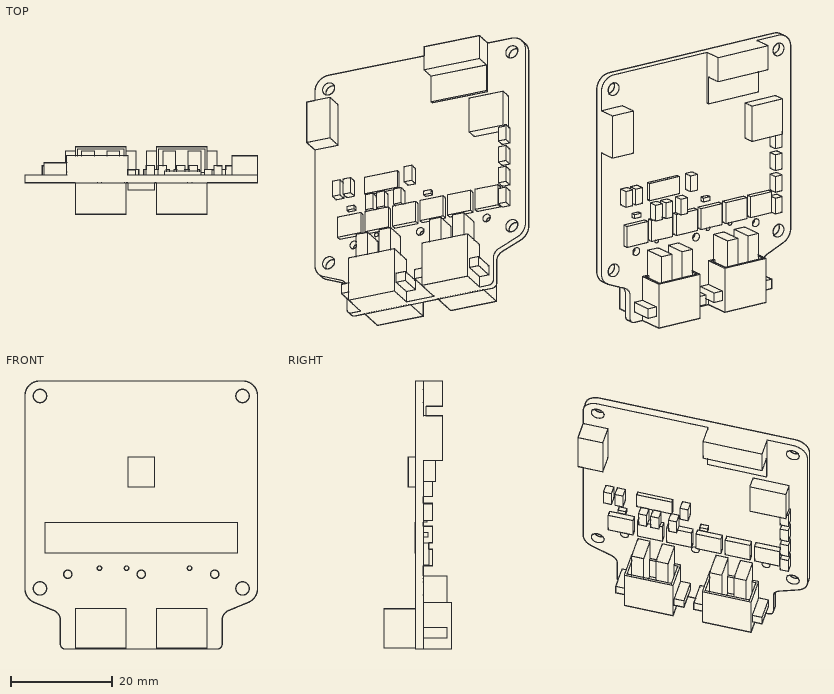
import cadquery as cq
import math


BOARD_WIDTH = 46.0
BOARD_HEIGHT = 53.0
BOARD_THICKNESS = 1.6
CORNER_RADIUS = 3.0
SHOULDER_ANGLE = math.radians(22.5)
TAB_WIDTH = 32.0
TAB_INNER_RADIUS = 2.0
TAB_CORNER_RADIUS = 1.0

MOUNT_HOLE_X = BOARD_WIDTH / 2 - CORNER_RADIUS
MOUNT_HOLE_DROPS = (CORNER_RADIUS, 41.0)
MOUNT_HOLE_DIAMETER = 2.6
PEG_HOLE_DIAMETER = 1.6
PEG_HOLE_XS = (-14.5, 0.0, 14.5)
PEG_HOLE_DROP = 38.2
VIA_DIAMETER = 0.85
VIA_XS = (-8.25, -2.9, 9.55)
VIA_DROP = 37.0

STRIP_WIDTH = 38.1
STRIP_LENGTH = 6.0
STRIP_DROP = 28.0
STRIP_HEIGHT = 0.02
FRONT_CHIP_WIDTH = 5.3
FRONT_CHIP_LENGTH = 6.0
FRONT_CHIP_DROP = 15.0
FRONT_CHIP_HEIGHT = 1.45
FRONT_BLOCK_LENGTH = 7.8
FRONT_BLOCK_DROP = 45.0
FRONT_BLOCK_HEIGHT = 6.2

CONNECTOR_XS = (-8.0, 8.0)
SHELL_WIDTH = 10.0
SHELL_HEIGHT = 5.55
SHELL_LENGTH = 9.25
SHELL_WALL = 0.45
SHELL_DROP = BOARD_HEIGHT - SHELL_LENGTH
FLANGE_WIDTH = 14.0
FLANGE_LENGTH = 2.0
FLANGE_DROP = 48.75
PRONG_WIDTH = 2.5
PRONG_OFFSET = 2.5
PRONG_HEIGHT = 4.7
PRONG_DROP = 38.5

TOP_SOCKET_X = -8.7
TOP_SOCKET_WIDTH = 12.1
TOP_SOCKET_LENGTH = 5.05
SOCKET_HEIGHT = 3.8
SOCKET_PLATE_LENGTH = 5.6
SOCKET_PLATE_HEIGHT = 0.55
SIDE_SOCKET_WIDTH = 5.1
SIDE_SOCKET_LENGTH = 8.85
SIDE_SOCKET_DROP = 6.9
MODULE_SIDE = 7.4
MODULE_LEFT = -19.25
MODULE_DROP = 12.5
MODULE_HEIGHT = 2.4
FLAT_CHIP_X = 8.2
FLAT_CHIP_WIDTH = 7.2
FLAT_CHIP_LENGTH = 3.6
FLAT_CHIP_DROP = 24.3
FLAT_CHIP_HEIGHT = 0.72

TALL_WIDTH = 1.65
TALL_LENGTH = 3.3
TALL_HEIGHT = 1.8
TALL_ROW_DROPS = (19.55, 24.15, 28.7, 33.25)
TALL_COLUMN_X = -18.75
UPPER_TALL_XS = (1.8, 15.15, 17.5)
UPPER_TALL_SHIFT = 0.15
LOWER_TALL_XS = (4.15, 7.8, 10.3)
LOW_COUNT = 6
LOW_PITCH = 6.0
LOW_WIDTH = 5.1
LOW_LENGTH = 4.4
LOW_DROP = TALL_ROW_DROPS[2] + TALL_LENGTH
LOW_HEIGHT = 1.08
TINY_WIDTH = 1.6
TINY_LENGTH = 0.8
TINY_HEIGHT = 0.9
TINY_XS = (-1.95, 14.8)
TINY_DROP = 30.0


def slab(x_center, width, drop, length, y_start, y_end):
    """Box spanning y_start..y_end whose upper end lies `drop` below the board top."""
    size_y = y_end - y_start
    box = cq.Workplane("XY").box(width, size_y, length)
    return box.translate((x_center, y_start + size_y / 2, BOARD_HEIGHT - drop - length / 2))


def back_part(x_center, width, drop, length, height):
    """Box standing on the component side; it reaches into the board to join it."""
    return slab(x_center, width, drop, length, BOARD_THICKNESS / 2, BOARD_THICKNESS + height)


def front_part(x_center, width, drop, length, height):
    """Box standing on the front side; it reaches into the board to join it."""
    return slab(x_center, width, drop, length, -height, BOARD_THICKNESS / 2)


def extrude_along_y(sketch):
    """Extrude an XZ sketch from the front face to the component side."""
    return sketch.extrude(-BOARD_THICKNESS)


def board_blank():
    """Rounded board with shoulders sloping in to a narrower tab at the bottom."""
    half_width = BOARD_WIDTH / 2
    half_tab = TAB_WIDTH / 2
    arc_z = BOARD_HEIGHT - MOUNT_HOLE_DROPS[1]
    top_z = BOARD_HEIGHT - CORNER_RADIUS

    def lower_arc_point(angle):
        x = MOUNT_HOLE_X + CORNER_RADIUS * math.sin(angle)
        z = arc_z - CORNER_RADIUS * math.cos(angle)
        return x, z

    slope_start = lower_arc_point(SHOULDER_ANGLE)
    arc_middle = lower_arc_point((SHOULDER_ANGLE + math.pi / 2) / 2)
    slope_end_z = slope_start[1] - (slope_start[0] - half_tab) * math.tan(SHOULDER_ANGLE)
    diagonal = CORNER_RADIUS * math.sqrt(0.5)

    half = (
        cq.Workplane("XZ")
        .moveTo(0, 0)
        .lineTo(half_tab, 0)
        .lineTo(half_tab, slope_end_z)
        .lineTo(*slope_start)
        .threePointArc(arc_middle, (half_width, arc_z))
        .lineTo(half_width, top_z)
        .threePointArc((MOUNT_HOLE_X + diagonal, top_z + diagonal), (MOUNT_HOLE_X, BOARD_HEIGHT))
        .lineTo(0, BOARD_HEIGHT)
        .close()
    )
    right = extrude_along_y(half)
    middle_y = BOARD_THICKNESS / 2
    inner_corner = cq.selectors.NearestToPointSelector((half_tab, middle_y, slope_end_z))
    tab_corner = cq.selectors.NearestToPointSelector((half_tab, middle_y, 0))
    right = right.edges(inner_corner).fillet(TAB_INNER_RADIUS)
    right = right.edges(tab_corner).fillet(TAB_CORNER_RADIUS)
    return right.union(right.mirror("YZ")).clean()


def drill(board, xs, drop, diameter):
    """Drill a row of through holes at one height."""
    points = [(x, BOARD_HEIGHT - drop) for x in xs]
    sketch = cq.Workplane("XZ").pushPoints(points).circle(diameter / 2)
    return board.cut(extrude_along_y(sketch))


def drilled_board():
    board = board_blank()
    for drop in MOUNT_HOLE_DROPS:
        board = drill(board, (-MOUNT_HOLE_X, MOUNT_HOLE_X), drop, MOUNT_HOLE_DIAMETER)
    board = drill(board, PEG_HOLE_XS, PEG_HOLE_DROP, PEG_HOLE_DIAMETER)
    return drill(board, VIA_XS, VIA_DROP, VIA_DIAMETER)


def edge_connector(x):
    """Shell open at its upper end, floored by a wide flange that carries two prongs."""
    shell = back_part(x, SHELL_WIDTH, SHELL_DROP, SHELL_LENGTH, SHELL_HEIGHT)
    cavity = slab(
        x,
        SHELL_WIDTH - 2 * SHELL_WALL,
        SHELL_DROP,
        FLANGE_DROP - SHELL_DROP,
        BOARD_THICKNESS + SHELL_WALL,
        BOARD_THICKNESS + SHELL_HEIGHT - SHELL_WALL,
    )
    connector = shell.cut(cavity)
    connector = connector.union(back_part(x, FLANGE_WIDTH, FLANGE_DROP, FLANGE_LENGTH, PRONG_HEIGHT))
    prong_length = FLANGE_DROP - PRONG_DROP
    for offset in (-PRONG_OFFSET, PRONG_OFFSET):
        prong = back_part(x + offset, PRONG_WIDTH, PRONG_DROP, prong_length, PRONG_HEIGHT)
        connector = connector.union(prong)
    return connector


def front_side_parts():
    parts = [
        front_part(0, STRIP_WIDTH, STRIP_DROP, STRIP_LENGTH, STRIP_HEIGHT),
        front_part(0, FRONT_CHIP_WIDTH, FRONT_CHIP_DROP, FRONT_CHIP_LENGTH, FRONT_CHIP_HEIGHT),
    ]
    for x in CONNECTOR_XS:
        parts.append(front_part(x, SHELL_WIDTH, FRONT_BLOCK_DROP, FRONT_BLOCK_LENGTH, FRONT_BLOCK_HEIGHT))
    return parts


def large_back_parts():
    side_socket_x = (BOARD_WIDTH - SIDE_SOCKET_WIDTH) / 2
    module_x = MODULE_LEFT + MODULE_SIDE / 2
    return [
        back_part(TOP_SOCKET_X, TOP_SOCKET_WIDTH, 0, TOP_SOCKET_LENGTH, SOCKET_HEIGHT),
        back_part(
            TOP_SOCKET_X, TOP_SOCKET_WIDTH, TOP_SOCKET_LENGTH, SOCKET_PLATE_LENGTH, SOCKET_PLATE_HEIGHT
        ),
        back_part(side_socket_x, SIDE_SOCKET_WIDTH, SIDE_SOCKET_DROP, SIDE_SOCKET_LENGTH, SOCKET_HEIGHT),
        back_part(module_x, MODULE_SIDE, MODULE_DROP, MODULE_SIDE, MODULE_HEIGHT),
        back_part(FLAT_CHIP_X, FLAT_CHIP_WIDTH, FLAT_CHIP_DROP, FLAT_CHIP_LENGTH, FLAT_CHIP_HEIGHT),
    ]


def small_back_parts():
    tall_places = [(TALL_COLUMN_X, drop) for drop in TALL_ROW_DROPS]
    tall_places += [(x, TALL_ROW_DROPS[1] + UPPER_TALL_SHIFT) for x in UPPER_TALL_XS]
    tall_places += [(x, TALL_ROW_DROPS[2]) for x in LOWER_TALL_XS]
    parts = [back_part(x, TALL_WIDTH, drop, TALL_LENGTH, TALL_HEIGHT) for x, drop in tall_places]
    for index in range(LOW_COUNT):
        x = (index - (LOW_COUNT - 1) / 2) * LOW_PITCH
        parts.append(back_part(x, LOW_WIDTH, LOW_DROP, LOW_LENGTH, LOW_HEIGHT))
    for x in TINY_XS:
        parts.append(back_part(x, TINY_WIDTH, TINY_DROP, TINY_LENGTH, TINY_HEIGHT))
    return parts


result = drilled_board()
for x in CONNECTOR_XS:
    result = result.union(edge_connector(x))
for part in front_side_parts() + large_back_parts() + small_back_parts():
    result = result.union(part)